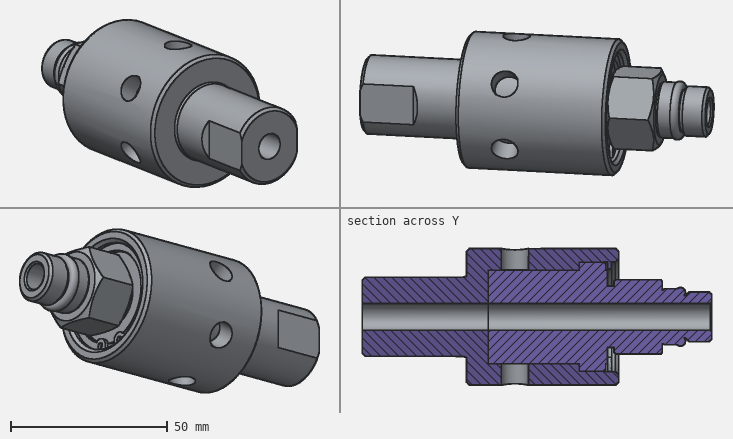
import cadquery as cq
import math


TOTAL_LENGTH = 111.9
FLOW_BORE_DIA = 8.5
FLOW_BORE_CHAMFER = 0.6

NOSE_DIA = 16.0
NOSE_TIP_CHAMFER = 0.9
NOSE_LENGTH = 7.3
GROOVE_DIA = 13.5
RING_TUBE_DIA = 3.2
RING_OUTER_DIA = 18.8
RING_CENTRE_X = 10.1
SHOULDER_DIA = 18.0
SHOULDER_START_X = RING_CENTRE_X
SHOULDER_RELIEF_X = 15.2
SHOULDER_RELIEF_LENGTH = 0.7
SHOULDER_RELIEF_DEPTH = 0.5

HEX_START_X = SHOULDER_RELIEF_X + SHOULDER_RELIEF_LENGTH
HEX_ACROSS_FLATS = 23.8
HEX_FACE_DIA = 22.6
HEX_CHAMFER_SLOPE = math.tan(math.radians(30))
HEX_END_X = 31.3
NECK_DIA = 19.8

HOUSING_DIA = 43.8
HOUSING_START_X = 29.8
HOUSING_END_X = 78.5
HOUSING_CHAMFER = 1.0
RECESS_DIA = 35.0
RECESS_MOUTH_DIA = 37.3
RUNNING_BORE_DIA = 30.1
RUNNING_BORE_END_X = 71.6

RETAINER_START_X = 32.1
RETAINER_THICKNESS = 1.2
RETAINER_INNER_DIA = 30.4
RETAINER_GAP = 4.4
EAR_RADIUS = 2.5
EAR_HOLE_DIA = 2.0
EAR_OFFSET_Y = 4.6
EAR_OFFSET_Z = -15.4

BOSS_START_X = RETAINER_START_X + RETAINER_THICKNESS
COLLAR_START_X = BOSS_START_X + 0.6
COLLAR_END_X = 42.5
COLLAR_CHAMFER = 0.7

DRAIN_COUNT = 6
DRAIN_DIA = 8.6
DRAIN_X = 63.0

SHANK_DIA = 25.4
SHANK_ROOT_DIA = 26.1
SHANK_ROOT_LENGTH = 1.0
SHANK_END_CHAMFER = 1.0
SHANK_ACROSS_FLATS = 22.0
SHANK_FLAT_START_X = 94.4


def revolve_profile(points):
    """Turn a closed outline of (x, radius) points around the X axis."""
    return cq.Workplane("XY").polyline(points).close().revolve(360, (0, 0, 0), (1, 0, 0))


def cylinder_x(start_x, end_x, diameter, y=0.0, z=0.0):
    """A cylinder parallel to X between two positions."""
    return cq.Workplane("YZ", origin=(start_x, y, z)).circle(diameter / 2).extrude(end_x - start_x)



def rotor_nose():
    """Stepped nose, with the O-ring groove and the relieved shoulder in front of the hexagon."""
    nose_radius = NOSE_DIA / 2
    groove_radius = GROOVE_DIA / 2
    shoulder_radius = SHOULDER_DIA / 2
    nose = revolve_profile([
        (0, 0),
        (0, nose_radius - NOSE_TIP_CHAMFER),
        (NOSE_TIP_CHAMFER, nose_radius),
        (NOSE_LENGTH, nose_radius),
        (NOSE_LENGTH + nose_radius - groove_radius, groove_radius),
        (SHOULDER_START_X, groove_radius),
        (SHOULDER_START_X, shoulder_radius),
        (SHOULDER_RELIEF_X, shoulder_radius),
        (HEX_START_X, shoulder_radius - SHOULDER_RELIEF_DEPTH),
        (HEX_START_X, 0),
    ])
    ring_centre_radius = (RING_OUTER_DIA - RING_TUBE_DIA) / 2
    o_ring = (
        cq.Workplane("XY", origin=(RING_CENTRE_X, ring_centre_radius, 0))
        .circle(RING_TUBE_DIA / 2)
        .revolve(360, (0, -ring_centre_radius), (1, -ring_centre_radius))
    )
    return nose.union(o_ring)


def rotor_hexagon():
    """Hexagon with corners along Y, its corners turned down to a cone at both ends."""
    corner_dia = HEX_ACROSS_FLATS / math.cos(math.radians(30))
    prism = (
        cq.Workplane("YZ", origin=(HEX_START_X, 0, 0))
        .polygon(6, corner_dia)
        .extrude(HEX_END_X - HEX_START_X)
    )
    face_radius = HEX_FACE_DIA / 2
    cone_radius = HEX_ACROSS_FLATS
    cone_length = (cone_radius - face_radius) * HEX_CHAMFER_SLOPE
    envelope = revolve_profile([
        (HEX_START_X, 0),
        (HEX_START_X, face_radius),
        (HEX_START_X + cone_length, cone_radius),
        (HEX_END_X - cone_length, cone_radius),
        (HEX_END_X, face_radius),
        (HEX_END_X, 0),
    ])
    return prism.intersect(envelope)


def rotor_shaft():
    """Neck, boss, collar and running shaft inside the housing."""
    shaft_radius = RUNNING_BORE_DIA / 2
    collar_radius = RECESS_DIA / 2
    return revolve_profile([
        (HEX_END_X, 0),
        (HEX_END_X, NECK_DIA / 2),
        (BOSS_START_X, NECK_DIA / 2),
        (BOSS_START_X, shaft_radius),
        (COLLAR_START_X, shaft_radius),
        (COLLAR_START_X, collar_radius - COLLAR_CHAMFER),
        (COLLAR_START_X + COLLAR_CHAMFER, collar_radius),
        (COLLAR_END_X, collar_radius),
        (COLLAR_END_X, shaft_radius),
        (RUNNING_BORE_END_X, shaft_radius),
        (RUNNING_BORE_END_X, 0),
    ])


def make_rotor():
    rotor = rotor_nose().union(rotor_hexagon()).union(rotor_shaft())
    bore_radius = FLOW_BORE_DIA / 2
    bore = revolve_profile([
        (0, 0),
        (0, bore_radius + FLOW_BORE_CHAMFER),
        (FLOW_BORE_CHAMFER, bore_radius),
        (RUNNING_BORE_END_X, bore_radius),
        (RUNNING_BORE_END_X, 0),
    ])
    return rotor.cut(bore)



def housing_outside():
    """Chamfered barrel and the outlet shank."""
    barrel_radius = HOUSING_DIA / 2
    shank_radius = SHANK_DIA / 2
    return revolve_profile([
        (HOUSING_START_X, 0),
        (HOUSING_START_X, barrel_radius - HOUSING_CHAMFER),
        (HOUSING_START_X + HOUSING_CHAMFER, barrel_radius),
        (HOUSING_END_X - HOUSING_CHAMFER, barrel_radius),
        (HOUSING_END_X, barrel_radius - HOUSING_CHAMFER),
        (HOUSING_END_X, SHANK_ROOT_DIA / 2),
        (HOUSING_END_X + SHANK_ROOT_LENGTH, shank_radius),
        (TOTAL_LENGTH - SHANK_END_CHAMFER, shank_radius),
        (TOTAL_LENGTH, shank_radius - SHANK_END_CHAMFER),
        (TOTAL_LENGTH, 0),
    ])


def housing_inside():
    """Recess with a chamfered mouth, running bore for the shaft, and the flow bore."""
    recess_radius = RECESS_DIA / 2
    mouth_radius = RECESS_MOUTH_DIA / 2
    return revolve_profile([
        (HOUSING_START_X, 0),
        (HOUSING_START_X, mouth_radius),
        (HOUSING_START_X + mouth_radius - recess_radius, recess_radius),
        (COLLAR_END_X, recess_radius),
        (COLLAR_END_X, RUNNING_BORE_DIA / 2),
        (RUNNING_BORE_END_X, RUNNING_BORE_DIA / 2),
        (RUNNING_BORE_END_X, FLOW_BORE_DIA / 2),
        (TOTAL_LENGTH, FLOW_BORE_DIA / 2),
        (TOTAL_LENGTH, 0),
    ])


def retaining_ring():
    """Split ring in the recess, with a pierced ear on each side of its gap."""
    end_x = RETAINER_START_X + RETAINER_THICKNESS
    disc = cylinder_x(RETAINER_START_X, end_x, RECESS_DIA)
    ring = disc.cut(cylinder_x(RETAINER_START_X, end_x, RETAINER_INNER_DIA))
    for side in (-1, 1):
        ear = cylinder_x(RETAINER_START_X, end_x, 2 * EAR_RADIUS, side * EAR_OFFSET_Y, EAR_OFFSET_Z)
        ring = ring.union(ear.intersect(disc))
    for side in (-1, 1):
        ring = ring.cut(
            cylinder_x(RETAINER_START_X, end_x, EAR_HOLE_DIA, side * EAR_OFFSET_Y, EAR_OFFSET_Z)
        )
    gap = (
        cq.Workplane("XY")
        .box(RETAINER_THICKNESS, RETAINER_GAP, RECESS_DIA / 2, centered=(False, True, False))
        .translate((RETAINER_START_X, 0, -RECESS_DIA / 2))
    )
    return ring.cut(gap)


def drain_holes():
    """Radial holes through the barrel wall, the first one pointing along +Z."""
    first = cq.Workplane("XY", origin=(DRAIN_X, 0, 0)).circle(DRAIN_DIA / 2).extrude(HOUSING_DIA / 2)
    holes = first
    for index in range(1, DRAIN_COUNT):
        turn = index * 360 / DRAIN_COUNT
        holes = holes.union(first.rotate((0, 0, 0), (1, 0, 0), turn))
    return holes


def shank_flat(side):
    """Material removed for one wrench flat (side is -1 or +1 along Y), with a 45 degree run-out."""
    flat_y = SHANK_ACROSS_FLATS / 2
    outer_y = SHANK_DIA / 2
    return (
        cq.Workplane("XY")
        .polyline([
            (TOTAL_LENGTH, side * flat_y),
            (SHANK_FLAT_START_X, side * flat_y),
            (SHANK_FLAT_START_X - (outer_y - flat_y), side * outer_y),
            (TOTAL_LENGTH, side * outer_y),
        ])
        .close()
        .extrude(SHANK_DIA / 2, both=True)
    )


def make_housing():
    housing = housing_outside().cut(housing_inside()).cut(drain_holes())
    for side in (-1, 1):
        housing = housing.cut(shank_flat(side))
    return housing.union(retaining_ring())


rotor = make_rotor()
housing = make_housing()
result = cq.Compound.makeCompound([*rotor.solids().vals(), *housing.solids().vals()])